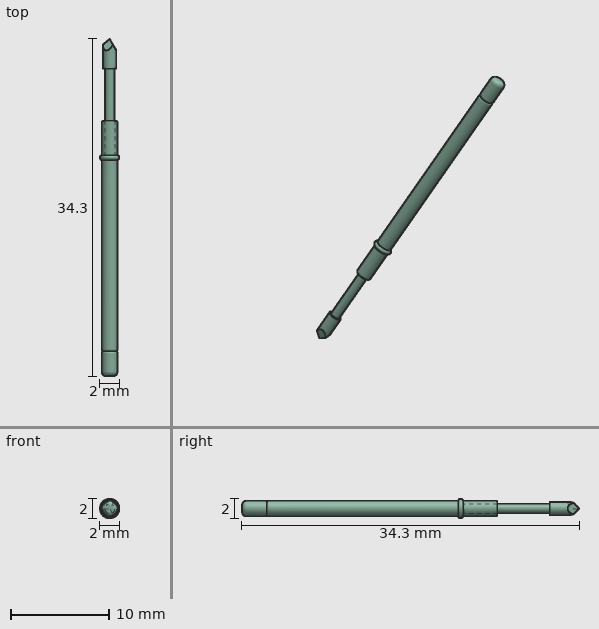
import cadquery as cq
import math

total_length = 34.3

barrel_diameter = 1.6
barrel_radius = barrel_diameter / 2
barrel_length = 25.95
mouth_round = 0.17
tail_round = 0.45
collar_radius = 1.0
collar_center = 22.23
collar_width = 0.5
crimp_center = 2.55
crimp_half_width = 0.2
crimp_depth = 0.1

stem_diameter = 1.0
stem_radius = stem_diameter / 2
stem_depth = 3.43
head_radius = 0.7
head_length = 3.02
tip_sides = 3
facet_angle = 30.0


def rod(radius, start, end):
    """Cylinder on the Y axis from start to end."""
    return cq.Workplane("XZ", origin=(0, start, 0)).circle(radius).extrude(start - end)


def make_collar():
    """Press ring whose rim bulges in one arc from the barrel surface."""
    collar_front = collar_center + collar_width / 2
    collar_rear = collar_center - collar_width / 2
    return (
        cq.Workplane("XY")
        .moveTo(0, collar_rear)
        .lineTo(barrel_radius, collar_rear)
        .threePointArc((collar_radius, collar_center), (barrel_radius, collar_front))
        .lineTo(0, collar_front)
        .close()
        .revolve(360, (0, 0, 0), (0, 1, 0))
    )


def make_crimp():
    """Ring that cuts a groove with two convex lips meeting in a crease."""
    lip_radius = (crimp_half_width**2 + crimp_depth**2) / (2 * crimp_depth)
    crease = (barrel_radius - crimp_depth, crimp_center)
    front_lip = (barrel_radius, crimp_center + crimp_half_width)
    rear_lip = (barrel_radius, crimp_center - crimp_half_width)
    return (
        cq.Workplane("XY")
        .moveTo(*rear_lip)
        .radiusArc(crease, -lip_radius)
        .radiusArc(front_lip, -lip_radius)
        .close()
        .revolve(360, (0, 0, 0), (0, 1, 0))
    )


def make_barrel():
    """Round-ended tube with a collar, a crimp groove and a blind bore for the stem."""
    tube = rod(barrel_radius, 0, barrel_length)
    tube = tube.faces("<Y").edges().fillet(tail_round)
    tube = tube.faces(">Y").edges().fillet(mouth_round)
    bore = rod(stem_radius, barrel_length - stem_depth, barrel_length)
    return tube.union(make_collar()).cut(make_crimp()).cut(bore)


def make_tip_envelope():
    """Three-sided pyramid with its apex on the axis and one ridge toward -X."""
    base_inradius = head_length * math.tan(math.radians(facet_angle))
    base_circumradius = base_inradius / math.cos(math.pi / tip_sides)
    corners = []
    for i in range(tip_sides):
        angle = math.pi + 2 * math.pi * i / tip_sides
        corners.append((base_circumradius * math.cos(angle), base_circumradius * math.sin(angle)))
    return (
        cq.Workplane("XZ", origin=(0, total_length - head_length, 0))
        .polyline(corners)
        .close()
        .extrude(-head_length, taper=facet_angle)
    )


def make_plunger():
    """Stem that fills the barrel bore, carrying a cylindrical head with a faceted tip."""
    head_rear = total_length - head_length
    head = rod(head_radius, head_rear, total_length).intersect(make_tip_envelope())
    stem = rod(stem_radius, barrel_length - stem_depth, head_rear)
    return stem.union(head)


barrel = make_barrel()
plunger = make_plunger()
result = cq.Compound.makeCompound([barrel.val(), plunger.val()])